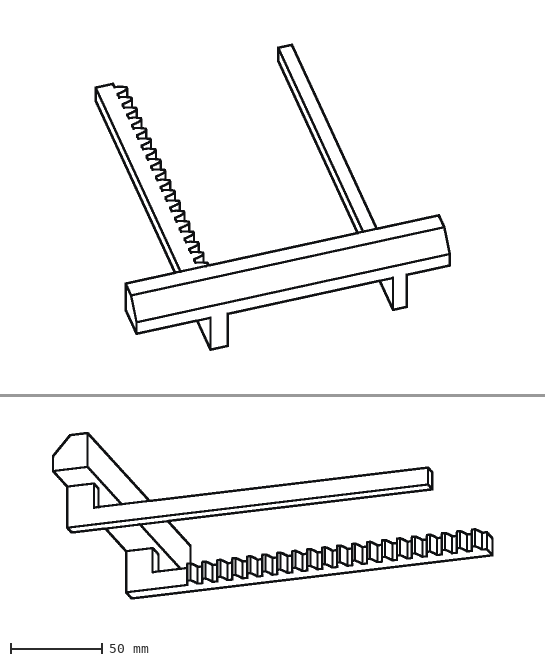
import cadquery as cq

total_length = 208.0
crossbar_length = 180.0
total_height = 44.0

crossbar_size = 20.0
bevel_run = 10.0
bevel_drop = 11.2

rail_height = 10.0
post_depth = 15.4
rack_width = 10.0
plain_width = 8.0
rack_front = 42.5
plain_back_inset = 24.8

tooth_count = 20
tooth_pitch = 8.63
first_tooth_x = 5.6
tooth_height = 6.2
root_half_width = 3.0
tip_half_width = 0.8
flank_half_width = 2.0
flank_height = 3.3
tooth_embed = 1.0


def make_crossbar():
    """Square bar with its upper outer edge bevelled."""
    inner_x = total_length - crossbar_size
    bottom_z = total_height - crossbar_size
    profile = [
        (inner_x, bottom_z),
        (total_length, bottom_z),
        (total_length, total_height - bevel_drop),
        (total_length - bevel_run, total_height),
        (inner_x, total_height),
    ]
    return cq.Workplane("XZ").polyline(profile).close().extrude(-crossbar_length)


def make_rail(front_y, width):
    """L-shaped arm: a long rail with a post rising to the crossbar."""
    rail = cq.Workplane("XY").box(total_length, width, rail_height, centered=False)
    post = (
        cq.Workplane("XY")
        .box(post_depth, width, total_height - crossbar_size, centered=False)
        .translate((total_length - post_depth, 0, 0))
    )
    return rail.union(post).translate((0, front_y, 0))


def make_tooth():
    """Tooth with bulging flanks and a narrow flat tip, its root line at Y = 0."""
    return (
        cq.Workplane("XY")
        .moveTo(-root_half_width, -tooth_embed)
        .lineTo(-root_half_width, 0)
        .threePointArc((-flank_half_width, flank_height), (-tip_half_width, tooth_height))
        .lineTo(tip_half_width, tooth_height)
        .threePointArc((flank_half_width, flank_height), (root_half_width, 0))
        .lineTo(root_half_width, -tooth_embed)
        .close()
        .extrude(rail_height)
    )


def make_rack():
    """Arm with a row of teeth on the side facing the plain arm."""
    rack = make_rail(rack_front, rack_width)
    tooth = make_tooth().translate((first_tooth_x, rack_front + rack_width, 0))
    for index in range(tooth_count):
        rack = rack.union(tooth.translate((index * tooth_pitch, 0, 0)))
    return rack


plain_front = crossbar_length - plain_back_inset - plain_width
result = make_crossbar().union(make_rail(plain_front, plain_width)).union(make_rack())